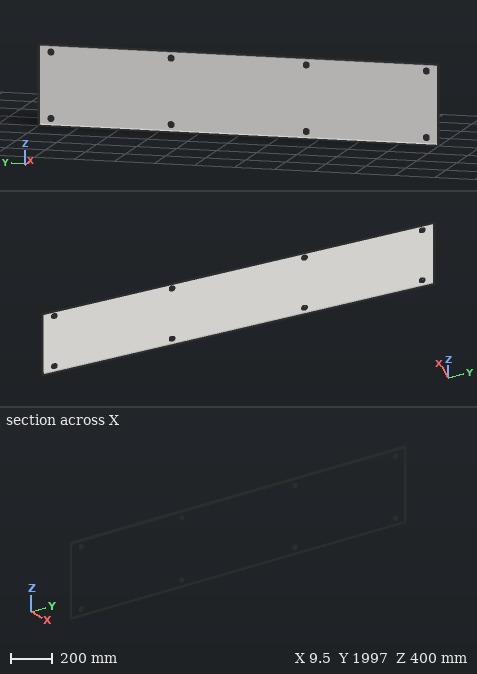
import cadquery as cq
import math

length = 1997.0
height = 400.0
depth = 9.5
sheet = 2.0

rim_angle = math.radians(45)
bend_inner_radius = 2.0
bend_outer_radius = bend_inner_radius + sheet

rim_clearance = 3.0

dimple_base_radius = 13.0
dimple_run = 5.0
screw_hole_radius = 4.0
outer_screw_spacing = 1875.0
inner_screw_spacing = 675.0
screw_row_spacing = 325.0

skin_outer_x = depth / 2
skin_inner_x = skin_outer_x - sheet
rear_x = -depth / 2
dimple_rise = skin_inner_x - rear_x

rim_tip_shift = sheet * math.sin(rim_angle)
rim_outer_tip_x = rear_x + sheet * math.cos(rim_angle)
rim_outer_tip_z = height / 2
rim_inner_tip_z = rim_outer_tip_z - rim_tip_shift
bend_outer_z = rim_outer_tip_z - (skin_outer_x - rim_outer_tip_x) * math.tan(rim_angle)
bend_inner_z = rim_inner_tip_z - (skin_inner_x - rear_x) * math.tan(rim_angle)


def extruded_profile(upper_points, thickness):
    """Extrude an XZ outline, mirrored about Z = 0, evenly about Y = 0."""
    lower_points = [(x, -z) for x, z in reversed(upper_points)]
    outline = cq.Workplane("XZ").polyline(upper_points + lower_points).close()
    return outline.extrude(thickness / 2, both=True)


def round_long_bends(body, bend_x, bend_z, radius):
    """Round the two Y-direction edges at (bend_x, +bend_z) and (bend_x, -bend_z)."""
    for z in (bend_z, -bend_z):
        body = body.edges(cq.selectors.NearestToPointSelector((bend_x, 0, z))).fillet(radius)
    return body


def folded_skin():
    body = extruded_profile(
        [
            (skin_outer_x, bend_outer_z),
            (rim_outer_tip_x, rim_outer_tip_z),
            (rear_x, rim_inner_tip_z),
            (skin_inner_x, bend_inner_z),
        ],
        length,
    )
    body = round_long_bends(body, skin_outer_x, bend_outer_z, bend_outer_radius)
    return round_long_bends(body, skin_inner_x, bend_inner_z, bend_inner_radius)


def end_wall():
    clearance_z = rim_clearance / math.cos(rim_angle)
    return extruded_profile(
        [
            (skin_inner_x, bend_inner_z - clearance_z),
            (rear_x, rim_inner_tip_z - clearance_z),
        ],
        sheet,
    )


def cone_frustum(base_x, base_radius, top_radius):
    """A frustum about the X axis that narrows from base_x toward -X."""
    top_x = base_x - dimple_rise
    half_section = [(base_x, 0), (base_x, base_radius), (top_x, top_radius), (top_x, 0)]
    outline = cq.Workplane("XY").polyline(half_section).close()
    return outline.revolve(360, (0, 0, 0), (1, 0, 0))


def dimple_cutter():
    """The countersink inside a dimple, one sheet thickness below its surface, with the screw hole."""
    wall_length = math.hypot(dimple_run, dimple_rise)
    radius_inset = sheet * (wall_length - dimple_run) / dimple_rise
    base_radius = dimple_base_radius - radius_inset
    countersink = cone_frustum(skin_outer_x, base_radius, base_radius - dimple_run)
    screw_hole = cq.Workplane("YZ").circle(screw_hole_radius).extrude(depth, both=True)
    return countersink.union(screw_hole)


result = folded_skin()
wall = end_wall()
for end in (1, -1):
    result = result.union(wall.translate((0, end * (length - sheet) / 2, 0)))

screw_places = [
    (y_side * spacing / 2, z_side * screw_row_spacing / 2)
    for spacing in (outer_screw_spacing, inner_screw_spacing)
    for y_side in (1, -1)
    for z_side in (1, -1)
]
dimple = cone_frustum(skin_inner_x, dimple_base_radius, dimple_base_radius - dimple_run)
cutter = dimple_cutter()
for y, z in screw_places:
    result = result.union(dimple.translate((0, y, z))).cut(cutter.translate((0, y, z)))